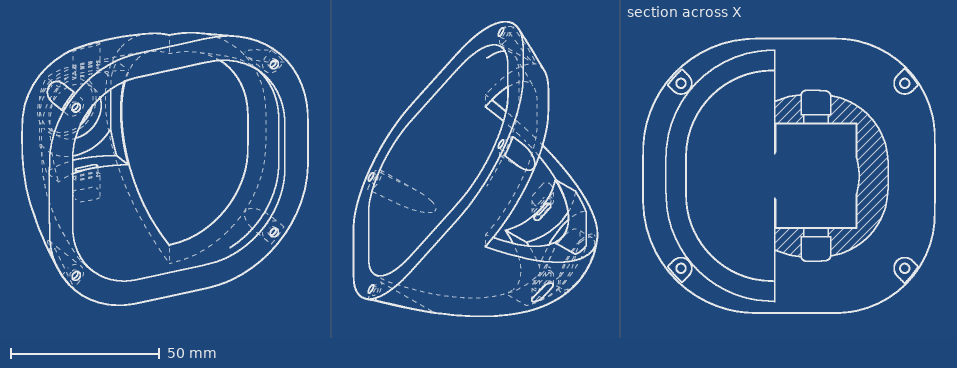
import cadquery as cq
import math

LENGTH = 63.8
BASE_WIDTH = 98.08
BASE_HEIGHT = 92.26

BASE_PLUS_Y = 58.1
BASE_MINUS_Y = BASE_WIDTH - BASE_PLUS_Y
BASE_CORNER_PLUS = 38.0
BASE_CORNER_MINUS = 33.4
BASE_SECTION = (BASE_PLUS_Y, BASE_MINUS_Y, BASE_HEIGHT / 2, BASE_CORNER_PLUS, BASE_CORNER_MINUS)

NOSE_RADIUS = 11.1

SHOULDER_FRACTION = 0.167
SHOULDER_SECTION = (34.0, 30.4, 34.9, 33.7, 30.2)

LOFT_STATIONS = 8
CORNER_STEPS = 8
FLAT_STEPS = 4

RIM_OFFSET = 8.8
RIM_DEPTH = 4.4
RIM_SECTION = tuple(size - RIM_OFFSET for size in BASE_SECTION)

CAVITY_START = 12.2
CAVITY_END = LENGTH - RIM_DEPTH
CAVITY_SHOULDER_SECTION = (31.5, 27.2, 32.3, 30.4, 27.1)

BORE_RADIUS = 10.0
CHAMBER_START = 6.0
CHAMBER_END = 30.0
CHAMBER_HALF_HEIGHT = 17.5

NOSE_SETBACK = 3.0

CUT_Y = 13.85
CUT_END = 47.8

CHAMBER_WALL = 0.3
CHAMBER_HALF_WIDTH = CUT_Y - CHAMBER_WALL

SLOT_X = 14.35
SLOT_LENGTH = 8.2
SLOT_WIDTH = 2.2
HEAD_SLOT_LENGTH = 9.8
HEAD_SLOT_WIDTH = 3.8
HEAD_SEAT = 3.0

SCREW_PLUS_Y = 45.3
SCREW_MINUS_Y = -29.8
SCREW_Z = 31.05
SCREW_HOLE_DIAMETER = 3.1
SCREW_POCKET_RADIUS = 3.6
SCREW_SEAT = 1.8
POCKET_LENGTH = 40.0
POCKET_REACH = 12.0


def between(start, end):
    """Points that divide a straight flat into FLAT_STEPS equal parts, without its ends."""
    shares = [step / FLAT_STEPS for step in range(1, FLAT_STEPS)]
    return [tuple(a + (b - a) * share for a, b in zip(start, end)) for share in shares]


def half_outline(section):
    """Points along the upper half of a section, from its -Y side over the top to its +Y side."""
    plus, minus, top, plus_radius, minus_radius = section
    angles = [math.pi / 2 * step / CORNER_STEPS for step in range(CORNER_STEPS + 1)]
    minus_corner = [
        (
            minus_radius - minus - minus_radius * math.cos(angle),
            top - minus_radius + minus_radius * math.sin(angle),
        )
        for angle in angles
    ]
    plus_corner = [
        (
            plus - plus_radius + plus_radius * math.sin(angle),
            top - plus_radius + plus_radius * math.cos(angle),
        )
        for angle in angles
    ]
    top_flat = between(minus_corner[-1], plus_corner[0])
    minus_flat = between((-minus, 0), minus_corner[0])
    plus_flat = between(plus_corner[-1], (plus, 0))
    flats_and_corners = minus_flat + minus_corner + top_flat + plus_corner + plus_flat
    return [(-minus, 0)] + flats_and_corners + [(plus, 0)]


def length_fractions(points):
    """Position of each point as a fraction of the length along the outline."""
    travelled = [0]
    for here, following in zip(points, points[1:]):
        travelled.append(travelled[-1] + math.dist(here, following))
    return [distance / travelled[-1] for distance in travelled]


def outline_wire(x, upper_outline, fractions):
    """Closed outline in the plane at x: a smooth upper half and its mirror image below."""
    upper = cq.Edge.makeSpline(
        [cq.Vector(x, y, z) for y, z in upper_outline],
        tangents=[cq.Vector(0, 0, 1), cq.Vector(0, 0, -1)],
        parameters=fractions,
    )
    return cq.Wire.assembleEdges([upper, upper.mirror("XY")])


def bezier(start, middle, end, t):
    """Value at t, from 0 to 1, on a quadratic Bezier curve."""
    return start * (1 - t) ** 2 + 2 * middle * t * (1 - t) + end * t**2


def dome(start_x, end_x, shoulder, base):
    """Solid that swells from the round nose to the base, each outline point on its own curve."""
    base_points = half_outline(base)
    shoulder_points = half_outline(shoulder)
    fractions = length_fractions(base_points)
    nose_points = [
        (-NOSE_RADIUS * math.cos(math.pi * part), NOSE_RADIUS * math.sin(math.pi * part))
        for part in fractions
    ]
    wires = []
    for station in range(LOFT_STATIONS + 1):
        t = station / LOFT_STATIONS
        x = start_x + (end_x - start_x) * bezier(0, SHOULDER_FRACTION, 1, t)
        outline = [
            [bezier(*values, t) for values in zip(*controls)]
            for controls in zip(nose_points, shoulder_points, base_points)
        ]
        wires.append(outline_wire(x, outline, fractions))
    return cq.Workplane(cq.Solid.makeLoft(wires))


def box(x_range, y_range, z_range):
    """Box between the given limits along each axis."""
    lows, highs = zip(x_range, y_range, z_range)
    sizes = [high - low for low, high in zip(lows, highs)]
    return cq.Workplane().box(*sizes, centered=False).translate(lows)


def inner_space():
    """Bore, camera chamber, domed cavity and rim opening, each as its own volume."""
    bore = cq.Workplane("YZ").circle(BORE_RADIUS).extrude(CHAMBER_START)
    chamber = box(
        (CHAMBER_START, CHAMBER_END),
        (-CHAMBER_HALF_WIDTH, CHAMBER_HALF_WIDTH),
        (-CHAMBER_HALF_HEIGHT, CHAMBER_HALF_HEIGHT),
    )
    skin_limit = dome(NOSE_SETBACK, LENGTH + NOSE_SETBACK, SHOULDER_SECTION, BASE_SECTION)
    chamber = chamber.intersect(skin_limit)
    cavity = dome(CAVITY_START, CAVITY_END, CAVITY_SHOULDER_SECTION, RIM_SECTION)
    rim_outline = half_outline(RIM_SECTION)
    rim_wire = outline_wire(CAVITY_END, rim_outline, length_fractions(rim_outline))
    rim = cq.Workplane(cq.Solid.extrudeLinear(rim_wire, [], cq.Vector(RIM_DEPTH, 0, 0)))
    return bore, chamber, cavity, rim


def camera_slots():
    """Slot through the top and bottom walls, and the head recesses outside it."""
    slot_plane = cq.Workplane("XY").center(SLOT_X, 0)
    slot = slot_plane.slot2D(SLOT_LENGTH, SLOT_WIDTH, 90).extrude(BASE_HEIGHT / 2, both=True)
    seat_z = CHAMBER_HALF_HEIGHT + HEAD_SEAT
    recess = (
        cq.Workplane("XY", origin=(SLOT_X, 0, seat_z))
        .slot2D(HEAD_SLOT_LENGTH, HEAD_SLOT_WIDTH, 90)
        .extrude(BASE_HEIGHT / 2 - seat_z)
    )
    return slot, recess, recess.mirror("XY")


def screw_cut(y, z):
    """Screw hole, and a head pocket that is open diagonally outward."""
    seat_x = LENGTH - SCREW_SEAT
    outward = math.degrees(math.atan2(math.copysign(1, z), math.copysign(1, y)))
    head = cq.Workplane("YZ").circle(SCREW_POCKET_RADIUS).extrude(-POCKET_LENGTH)
    side_opening = box(
        (-POCKET_LENGTH, 0),
        (0, POCKET_REACH),
        (-SCREW_POCKET_RADIUS, SCREW_POCKET_RADIUS),
    )
    hole = cq.Workplane("YZ").circle(SCREW_HOLE_DIAMETER / 2).extrude(SCREW_SEAT)
    pocket = head.union(side_opening).union(hole)
    return pocket.rotate((0, 0, 0), (1, 0, 0), outward).translate((seat_x, y, z))


result = dome(0, LENGTH, SHOULDER_SECTION, BASE_SECTION)
for space in inner_space():
    result = result.cut(space)
result = result.cut(box((0, CUT_END), (CUT_Y, BASE_WIDTH), (-BASE_HEIGHT, BASE_HEIGHT)))
for slot_part in camera_slots():
    result = result.cut(slot_part)
for screw_y in (SCREW_PLUS_Y, SCREW_MINUS_Y):
    for screw_z in (SCREW_Z, -SCREW_Z):
        result = result.cut(screw_cut(screw_y, screw_z))